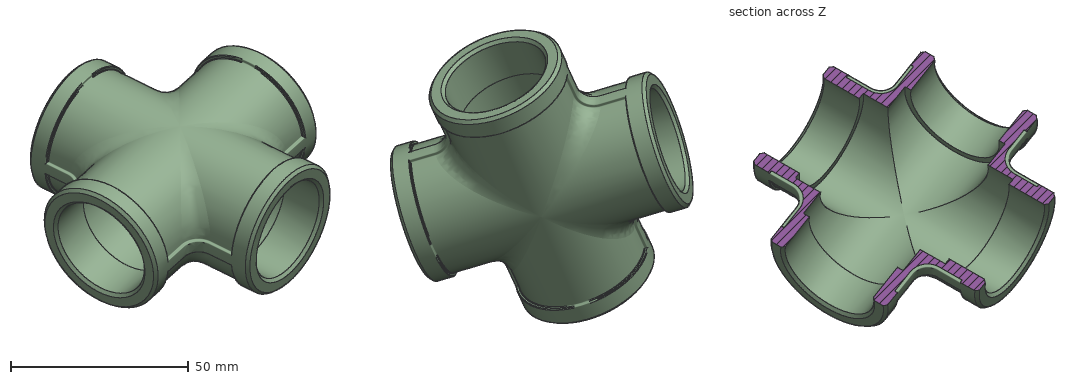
import cadquery as cq
arm_length = 38.5
collar_diameter = 40.0
collar_radius = collar_diameter / 2

collar_width = 6.0
step_height = 1.0
body_radius = collar_radius - step_height
mouth_chamfer = 0.9
rib_width = 4.0
rib_corner_radius = 5.0
body_corner_radius = rib_corner_radius + step_height
step_fillet = 0.2

thread_bore_radius = 30.25 / 2
thread_bore_depth = 13.0
bore_chamfer = 0.9
cavity_radius = 34.2 / 2
cavity_length = arm_length - thread_bore_depth


def crossed_rods(radius, half_length):
    """Two rods along X and Y, crossing at the centre."""
    rod = cq.Workplane("YZ").circle(radius).extrude(half_length, both=True)
    return rod.union(rod.rotate((0, 0, 0), (0, 0, 1), 90))


def blended_cross(radius, corner_radius):
    """Crossed rods that are rounded into each other along their seams."""
    return crossed_rods(radius, arm_length).edges("%ELLIPSE").fillet(corner_radius)


def panel_space():
    """Space around the body, between the collars, above and below the ribs."""
    between_collars = 2 * (arm_length - collar_width)
    block = cq.Workplane("XY").box(between_collars, between_collars, 2 * collar_diameter)
    rib_slab = cq.Workplane("XY").box(2 * arm_length, 2 * arm_length, rib_width)
    return block.cut(rib_slab).cut(blended_cross(body_radius, body_corner_radius))


def is_step_edge(edge):
    """True for the long edges at the crest and foot of the step around each sunken panel.

    These edges start and end on the flanks of the ribs.
    """
    ends = (edge.startPoint(), edge.endPoint())
    on_flanks = all(abs(abs(end.z) - rib_width / 2) < 0.01 for end in ends)
    return on_flanks and edge.Length() > 2 * step_height


def on_each_arm(shape):
    """Copies of a shape made on the +X arm, one for each of the four arms."""
    return [shape.rotate((0, 0, 0), (0, 0, 1), angle) for angle in (0, 90, 180, 270)]


def bore():
    """Thread bore of the +X arm, chamfered at the mouth."""
    inner_end = cavity_length
    chamfer_start = arm_length - bore_chamfer
    return (
        cq.Workplane("XY")
        .moveTo(inner_end, 0)
        .lineTo(inner_end, thread_bore_radius)
        .lineTo(chamfer_start, thread_bore_radius)
        .lineTo(arm_length, thread_bore_radius + bore_chamfer)
        .lineTo(arm_length, 0)
        .close()
        .revolve(360, (0, 0, 0), (1, 0, 0))
    )


fitting = blended_cross(collar_radius, rib_corner_radius)
fitting = fitting.faces("%PLANE").chamfer(mouth_chamfer)
fitting = fitting.cut(panel_space())
step_edges = fitting.faces("%PLANE").edges().filter(is_step_edge)
fitting = step_edges.fillet(step_fillet)

fitting = fitting.cut(crossed_rods(cavity_radius, cavity_length))
for piece in on_each_arm(bore()):
    fitting = fitting.cut(piece)

result = fitting